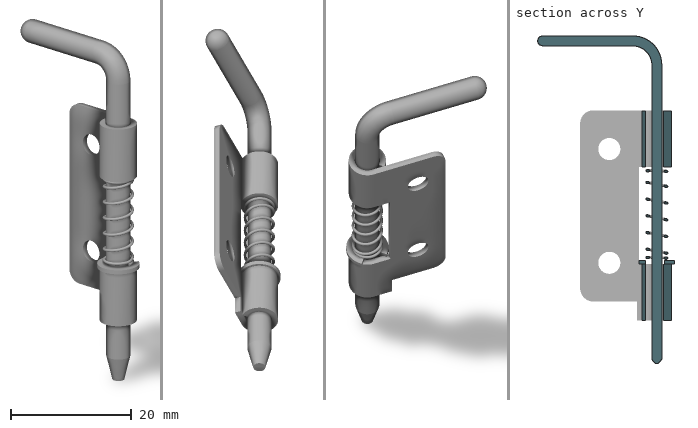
import cadquery as cq
import math


pin_radius = 2.0
pin_height = 59.0
overall_length = 24.5
bend_radius = 2 * pin_radius
tip_radius = pin_radius / 2
taper_height = 4.2
collar_radius = 7.0 / 2
handle_reach = overall_length - collar_radius
collar_thickness = 0.7
collar_gap_start = 55
roll_end_angle = 135

sheet = 1.0
bore_radius = 4.2 / 2
knuckle_radius = bore_radius + sheet
knuckle_length = 9.4
lower_knuckle_bottom = 10.5
lower_knuckle_top = lower_knuckle_bottom + knuckle_length
leaf_top = 45.45
upper_knuckle_bottom = leaf_top - knuckle_length
leaf_bottom = 13.7
leaf_height = leaf_top - leaf_bottom
leaf_left = -12.7
window_edge = -2.95
tab_edge = -3.25
corner_radius = 2.2
screw_hole_diameter = 3.65
screw_hole_x = -7.85
screw_hole_inset = 6.45

wire_diameter = 0.5
coil_radius = 2.35
active_turns = 5
closed_pitch = 0.55
end_clearance = 0.03
points_per_turn = 16

collar_top = lower_knuckle_top + collar_thickness


def wedge(start_angle, end_angle, bottom, height):
    """Triangular block about the pin axis that reaches past the collar rim."""
    reach = 2 * collar_radius
    corners = [(0, 0)]
    for angle in (start_angle, end_angle):
        corners.append((reach * math.cos(math.radians(angle)), reach * math.sin(math.radians(angle))))
    return cq.Workplane("XY", origin=(0, 0, bottom)).polyline(corners).close().extrude(height)


def make_pin():
    """Bent round rod with a domed handle end, a tapered tip and an open collar."""
    handle_z = pin_height - pin_radius
    bend_start_z = handle_z - bend_radius
    dome_x = pin_radius - handle_reach
    bend_offset = bend_radius * (1 - math.cos(math.pi / 4))

    path = (
        cq.Workplane("XZ")
        .moveTo(0, taper_height)
        .lineTo(0, bend_start_z)
        .threePointArc((-bend_offset, handle_z - bend_offset), (-bend_radius, handle_z))
        .lineTo(dome_x, handle_z)
    )
    rod = cq.Workplane("XY", origin=(0, 0, taper_height)).circle(pin_radius).sweep(path)
    dome = cq.Workplane("XY").sphere(pin_radius).translate((dome_x, 0, handle_z))
    tip = cq.Workplane(cq.Solid.makeCone(tip_radius, pin_radius, taper_height))
    collar = (
        cq.Workplane("XY", origin=(0, 0, lower_knuckle_top))
        .circle(collar_radius)
        .extrude(collar_thickness)
    )
    collar = collar.cut(wedge(collar_gap_start, roll_end_angle, lower_knuckle_top, collar_thickness))
    return rod.union(dome).union(collar).union(tip)


def sheet_strip(left, right, bottom, top):
    """Flat piece of the leaf, tangent to the back of the knuckles."""
    return cq.Workplane("XY").box(right - left, sheet, top - bottom, centered=False).translate(
        (left, bore_radius, bottom)
    )


def make_knuckle(bottom, strip_left):
    """Rolled, not quite closed barrel around the pin with the strip that joins it to the leaf."""
    strip = sheet_strip(strip_left, 0, bottom, bottom + knuckle_length)
    barrel = cq.Workplane("XY", origin=(0, 0, bottom)).circle(knuckle_radius).extrude(knuckle_length)
    bore = cq.Workplane("XY", origin=(0, 0, bottom)).circle(bore_radius).extrude(knuckle_length)
    roll_opening = wedge(90, roll_end_angle, bottom, knuckle_length)
    return barrel.cut(roll_opening).union(strip).cut(bore)


def make_leaf():
    """Drilled flat plate carrying the two knuckles."""
    plate = (
        sheet_strip(leaf_left, window_edge, leaf_bottom, leaf_top)
        .edges("|Y and <X")
        .fillet(corner_radius)
    )
    for hole_z in (leaf_bottom + screw_hole_inset, leaf_top - screw_hole_inset):
        hole = (
            cq.Workplane("XZ", origin=(screw_hole_x, knuckle_radius, hole_z))
            .circle(screw_hole_diameter / 2)
            .extrude(sheet)
        )
        plate = plate.cut(hole)
    for bottom in (lower_knuckle_bottom, upper_knuckle_bottom):
        plate = plate.union(make_knuckle(bottom, tab_edge))
    return plate


def make_spring():
    """Right-handed compression spring with one closed turn at each end."""
    first_z = collar_top + end_clearance + wire_diameter / 2
    last_z = upper_knuckle_bottom - end_clearance - wire_diameter / 2
    active_pitch = (last_z - first_z - 2 * closed_pitch) / active_turns
    total_turns = active_turns + 2

    points = []
    for step in range(total_turns * points_per_turn + 1):
        turn = step / points_per_turn
        active = min(max(turn - 1, 0), active_turns)
        z = first_z + closed_pitch * (turn - active) + active_pitch * active
        angle = 2 * math.pi * turn
        points.append((coil_radius * math.cos(angle), coil_radius * math.sin(angle), z))

    path = cq.Workplane("XY").spline(points)
    start_plane = cq.Plane(origin=points[0], xDir=(1, 0, 0), normal=path.val().tangentAt(0))
    return cq.Workplane(start_plane).circle(wire_diameter / 2).sweep(path, isFrenet=True)


pin = make_pin()
leaf = make_leaf()
spring = make_spring()

result = cq.Compound.makeCompound([pin.val(), leaf.val(), spring.val()])